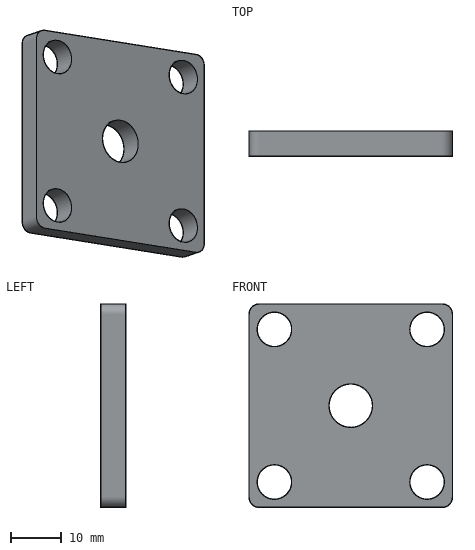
import cadquery as cq

side = 40.0
thickness = 5.0
corner_radius = 2.0

center_hole_diameter = 8.5
corner_hole_diameter = 6.7
corner_hole_spacing = 0.75 * side

plate = (
    cq.Workplane("XY")
    .box(side, thickness, side)
    .edges("|Y")
    .fillet(corner_radius)
)

result = (
    plate
    .faces("<Y")
    .workplane(origin=(0, 0, 0))
    .hole(center_hole_diameter)
    .faces("<Y")
    .workplane(origin=(0, 0, 0))
    .rarray(corner_hole_spacing, corner_hole_spacing, 2, 2)
    .hole(corner_hole_diameter)
)